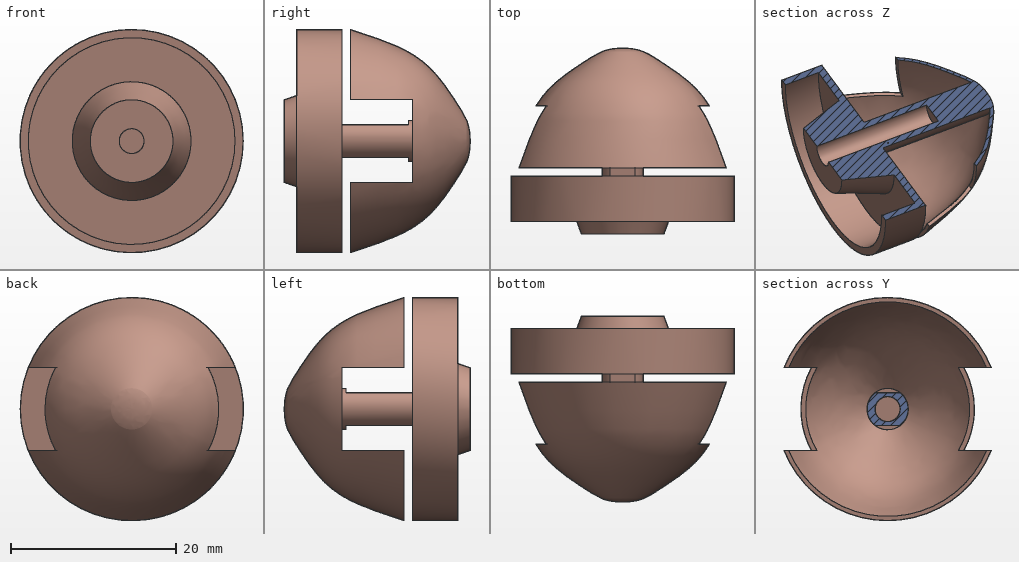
import cadquery as cq
import math

HUB_FACE_Y = 0.0
CUP_FRONT_Y = 1.5
CUP_FLOOR_Y = 6.0
CUP_BACK_Y = 7.0
DOME_BASE_Y = 8.0
FLATS_END_Y = 15.0
SLOT_END_Y = 15.5
TIP_Y = 22.5

CUP_RADIUS = 27.0 / 2
CUP_BORE_RADIUS = 25.0 / 2

HUB_FACE_RADIUS = 5.0
HUB_TAPER = 20.0
HUB_BASE_RADIUS = HUB_FACE_RADIUS + (CUP_FLOOR_Y - HUB_FACE_Y) * math.tan(math.radians(HUB_TAPER))

SHAFT_RADIUS = 5.0 / 2
ACROSS_FLATS = 4.0
HOLE_RADIUS = 3.0 / 2
HOLE_END_Y = FLATS_END_Y

DOME_BASE_RADIUS = CUP_RADIUS
WALL = 0.5
DOME_STATIONS = [
    (DOME_BASE_RADIUS, DOME_BASE_Y, 19.0),
    (9.25, 17.2, 39.0),
    (4.0, 21.25, 60.0),
    (0.0, TIP_Y, 90.0),
]

SLOT_WIDTH = 10.0


def revolve_about_axis(profile):
    """Turn an XY half profile into a solid of revolution about the Y axis."""
    return profile.close().revolve(360, (0, 0, 0), (0, 1, 0))


def disc(radius, start_y, end_y):
    """Cylinder on the Y axis between two stations."""
    return revolve_about_axis(
        cq.Workplane("XY")
        .moveTo(0, start_y)
        .lineTo(radius, start_y)
        .lineTo(radius, end_y)
        .lineTo(0, end_y)
    )


def ogive(inset):
    """Solid dome whose outline lies the given inset inside the outer surface."""
    points = []
    tangents = []
    for radius, y, normal_angle in DOME_STATIONS:
        angle = math.radians(normal_angle)
        points.append((radius - inset * math.cos(angle), y - inset * math.sin(angle)))
        tangents.append((-math.sin(angle), math.cos(angle)))
    base_radius, base_y, base_angle = DOME_STATIONS[0]
    points[0] = (base_radius - inset / math.cos(math.radians(base_angle)), base_y)
    return revolve_about_axis(
        cq.Workplane("XY")
        .moveTo(0, base_y)
        .lineTo(*points[0])
        .spline(points[1:], tangents=[tangents[0], tangents[-1]], includeCurrent=True)
    )


def make_cup():
    bore = disc(CUP_BORE_RADIUS, CUP_FRONT_Y, CUP_FLOOR_Y)
    return disc(CUP_RADIUS, CUP_FRONT_Y, CUP_BACK_Y).cut(bore)


def make_hub():
    return revolve_about_axis(
        cq.Workplane("XY")
        .moveTo(0, HUB_FACE_Y)
        .lineTo(HUB_FACE_RADIUS, HUB_FACE_Y)
        .lineTo(HUB_BASE_RADIUS, CUP_FLOOR_Y)
        .lineTo(0, CUP_FLOOR_Y)
    )


def make_shaft():
    """Shaft from the cup to the dome, flattened on its +Z and -Z sides and trimmed to the dome."""
    flats_length = FLATS_END_Y - CUP_BACK_Y
    flats_middle_y = (FLATS_END_Y + CUP_BACK_Y) / 2
    flattened = disc(SHAFT_RADIUS, CUP_BACK_Y, FLATS_END_Y).intersect(
        cq.Workplane("XY").box(2 * SHAFT_RADIUS, flats_length, ACROSS_FLATS).translate((0, flats_middle_y, 0))
    )
    round_end = disc(SHAFT_RADIUS, FLATS_END_Y, TIP_Y).intersect(ogive(0))
    return flattened.union(round_end)


def make_dome():
    """Thin dome with a slot open at the base on its +X and -X sides."""
    slot_length = SLOT_END_Y - DOME_BASE_Y
    slot_middle_y = (SLOT_END_Y + DOME_BASE_Y) / 2
    slot = (
        cq.Workplane("XY")
        .box(2 * DOME_BASE_RADIUS, slot_length, SLOT_WIDTH)
        .translate((0, slot_middle_y, 0))
    )
    return ogive(0).cut(ogive(WALL)).cut(slot)


body = make_cup().union(make_hub()).union(make_shaft()).union(make_dome())
result = body.cut(disc(HOLE_RADIUS, HUB_FACE_Y, HOLE_END_Y))